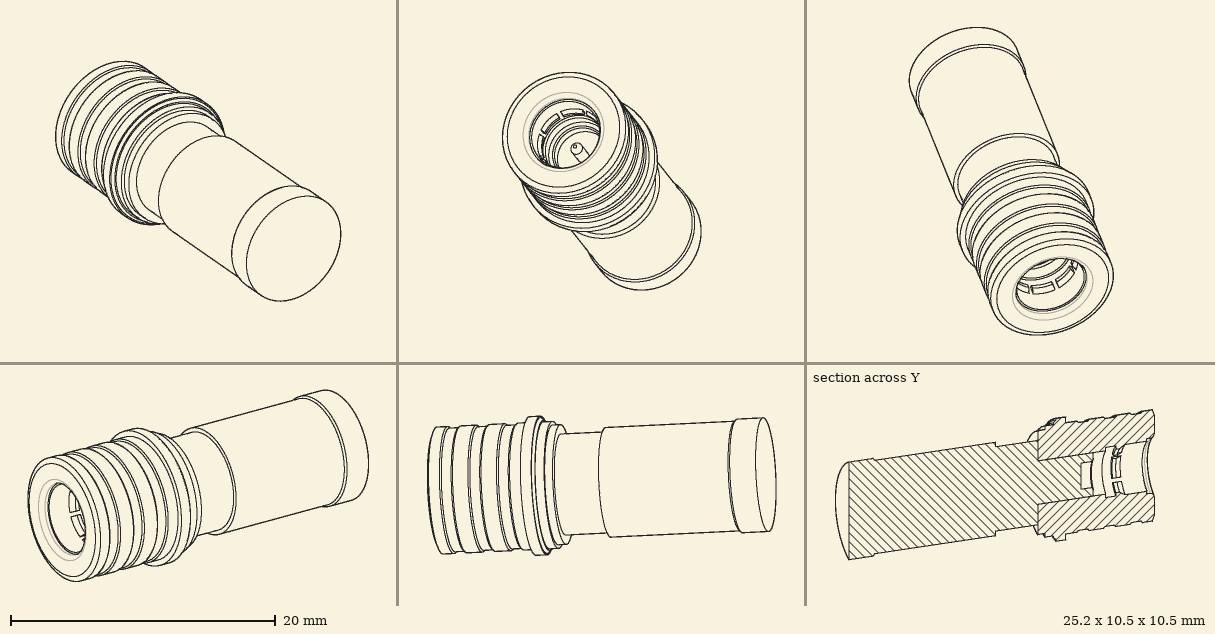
import cadquery as cq

TOTAL_LENGTH = 25.2

SLEEVE_LENGTH = 9.65
GRIP_RADIUS = 4.82
MOUTH_CHAMFER_LENGTH = 0.18
MOUTH_CHAMFER_DEPTH = 0.43
FLANGE_START = 7.3
FLANGE_END = 8.15
FLANGE_DIAMETER = 10.5
FLANGE_RADIUS = FLANGE_DIAMETER / 2
SHOULDER_CONE_END = 8.37
SHOULDER_CONE_START_RADIUS = 5.15
SHOULDER_CONE_END_RADIUS = 4.95
LAND_END = 9.05
TAIL_RADIUS = 4.55

GROOVE_COUNT = 3
GROOVE_START = 1.0
GROOVE_PITCH = 2.2
GROOVE_WIDTH = 1.0
GROOVE_DEPTH = 0.13
GROOVE_WALL_LENGTH = 0.13

MOUTH_FILLET = 0.35
ENTRY_RADIUS = 2.8
ENTRY_DEPTH = 0.63
BORE_RADIUS = 2.65
LEDGE_DEPTH = 4.03
REAR_BORE_RADIUS = 2.45
FLOOR_DEPTH = 5.05

LUG_COUNT = 8
LUG_START = 2.45
LUG_RAMP_LENGTH = 0.45
LUG_FLAT_LENGTH = 0.3
LUG_GAP = 0.33

NECK_RADIUS = 3.83
BARREL_START = 13.1
BARREL_RADIUS = 4.15
COLLAR_START = 23.07
COLLAR_TAPER_LENGTH = 0.15
COLLAR_RADIUS = 4.3

SOCKET_RADIUS = 2.02
SOCKET_CHAMFER = 0.13
SOCKET_DEPTH = 1.0
PIN_RADIUS = 0.45
PIN_TIP_RADIUS = 0.13
PIN_TIP_LENGTH = 0.5
PIN_PROTRUSION = 1.5


def revolve_about_x(profile):
    """Turn a closed (x, radius) profile into a solid of revolution about the X axis."""
    return profile.close().revolve(360, (0, 0, 0), (1, 0, 0))


def make_sleeve_blank():
    """Stepped sleeve with a rounded mouth, a short entry and a bore that narrows at a ledge."""
    profile = (
        cq.Workplane("XY")
        .moveTo(0, ENTRY_RADIUS + MOUTH_FILLET)
        .lineTo(0, GRIP_RADIUS - MOUTH_CHAMFER_DEPTH)
        .lineTo(MOUTH_CHAMFER_LENGTH, GRIP_RADIUS)
        .lineTo(FLANGE_START, GRIP_RADIUS)
        .lineTo(FLANGE_START, FLANGE_RADIUS)
        .lineTo(FLANGE_END, FLANGE_RADIUS)
        .lineTo(FLANGE_END, SHOULDER_CONE_START_RADIUS)
        .lineTo(SHOULDER_CONE_END, SHOULDER_CONE_END_RADIUS)
        .lineTo(SHOULDER_CONE_END, GRIP_RADIUS)
        .lineTo(LAND_END, GRIP_RADIUS)
        .lineTo(LAND_END, TAIL_RADIUS)
        .lineTo(SLEEVE_LENGTH, TAIL_RADIUS)
        .lineTo(SLEEVE_LENGTH, REAR_BORE_RADIUS)
        .lineTo(LEDGE_DEPTH, REAR_BORE_RADIUS)
        .lineTo(LEDGE_DEPTH, BORE_RADIUS)
        .lineTo(ENTRY_DEPTH, BORE_RADIUS)
        .lineTo(ENTRY_DEPTH, ENTRY_RADIUS)
        .lineTo(MOUTH_FILLET, ENTRY_RADIUS)
        .radiusArc((0, ENTRY_RADIUS + MOUTH_FILLET), MOUTH_FILLET)
    )
    return revolve_about_x(profile)


def make_grip_groove(start):
    """Ring that cuts one grip groove with tapered walls."""
    end = start + GROOVE_WIDTH
    floor_radius = GRIP_RADIUS - GROOVE_DEPTH
    profile = (
        cq.Workplane("XY")
        .moveTo(start, GRIP_RADIUS)
        .lineTo(start + GROOVE_WALL_LENGTH, floor_radius)
        .lineTo(end - GROOVE_WALL_LENGTH, floor_radius)
        .lineTo(end, GRIP_RADIUS)
    )
    return revolve_about_x(profile)


def make_snap_lugs():
    """Ramped ring level with the rear bore, split into equal lugs by narrow radial gaps."""
    ramp_end = LUG_START + LUG_RAMP_LENGTH
    lug_end = ramp_end + LUG_FLAT_LENGTH
    root_radius = (BORE_RADIUS + GRIP_RADIUS) / 2
    profile = (
        cq.Workplane("XY")
        .moveTo(LUG_START, root_radius)
        .lineTo(LUG_START, BORE_RADIUS)
        .lineTo(ramp_end, REAR_BORE_RADIUS)
        .lineTo(lug_end, REAR_BORE_RADIUS)
        .lineTo(lug_end, root_radius)
    )
    lugs = revolve_about_x(profile)
    lug_pitch = 360 / LUG_COUNT
    gap = (
        cq.Workplane("XY")
        .box(lug_end - LUG_START, root_radius, LUG_GAP, centered=(False, False, True))
        .translate((LUG_START, BORE_RADIUS / 2, 0))
    )
    for index in range(LUG_COUNT):
        lugs = lugs.cut(gap.rotate((0, 0, 0), (1, 0, 0), (index + 0.5) * lug_pitch))
    return lugs


def make_sleeve():
    sleeve = make_sleeve_blank()
    for index in range(GROOVE_COUNT):
        sleeve = sleeve.cut(make_grip_groove(GROOVE_START + index * GROOVE_PITCH))
    return sleeve.union(make_snap_lugs())


def make_rear_body():
    """Spigot filling the rear bore of the sleeve, contact pin, neck, barrel and end collar."""
    socket_floor = FLOOR_DEPTH + SOCKET_DEPTH
    pin_tip = FLOOR_DEPTH - PIN_PROTRUSION
    profile = (
        cq.Workplane("XY")
        .moveTo(pin_tip, 0)
        .lineTo(pin_tip, PIN_TIP_RADIUS)
        .lineTo(pin_tip + PIN_TIP_LENGTH, PIN_RADIUS)
        .lineTo(socket_floor, PIN_RADIUS)
        .lineTo(socket_floor, SOCKET_RADIUS)
        .lineTo(FLOOR_DEPTH + SOCKET_CHAMFER, SOCKET_RADIUS)
        .lineTo(FLOOR_DEPTH, SOCKET_RADIUS + SOCKET_CHAMFER)
        .lineTo(FLOOR_DEPTH, REAR_BORE_RADIUS)
        .lineTo(SLEEVE_LENGTH, REAR_BORE_RADIUS)
        .lineTo(SLEEVE_LENGTH, NECK_RADIUS)
        .lineTo(BARREL_START, NECK_RADIUS)
        .lineTo(BARREL_START, BARREL_RADIUS)
        .lineTo(COLLAR_START, BARREL_RADIUS)
        .lineTo(COLLAR_START + COLLAR_TAPER_LENGTH, COLLAR_RADIUS)
        .lineTo(TOTAL_LENGTH, COLLAR_RADIUS)
        .lineTo(TOTAL_LENGTH, 0)
    )
    return revolve_about_x(profile)


sleeve = make_sleeve()
rear_body = make_rear_body()

result = cq.Compound.makeCompound([sleeve.val(), rear_body.val()])